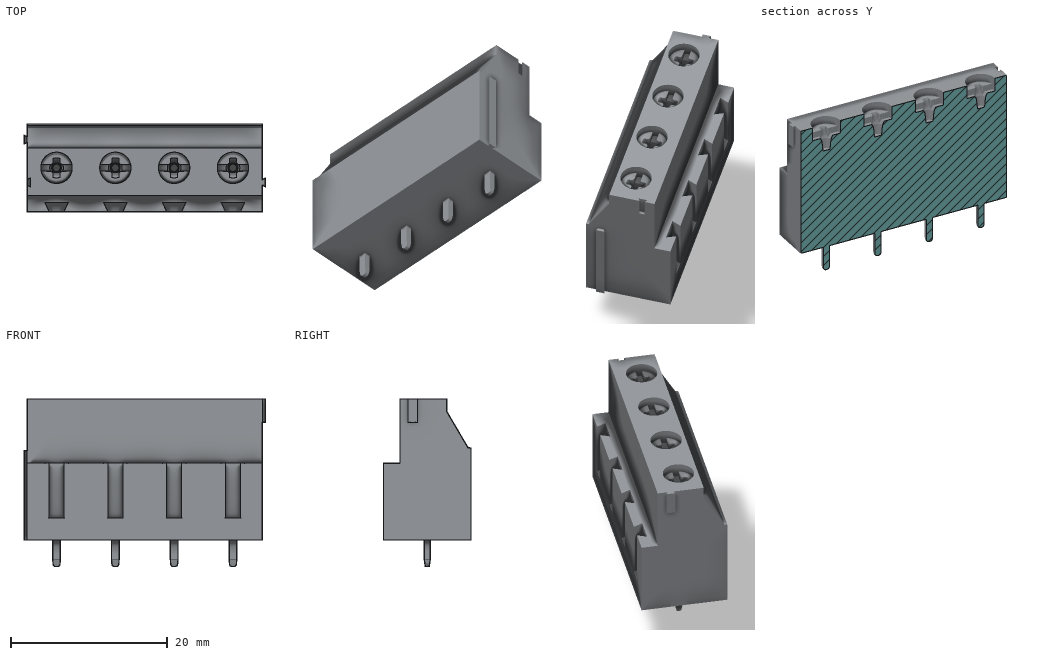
import cadquery as cq

pole_count = 4
pole_pitch = 7.5
housing_length = pole_count * pole_pitch
housing_depth = 11.2
housing_height = 18.0
step_depth = 2.1
step_height = 9.8
upper_back_y = 8.1
slope_top_z = 16.4
slope_bottom_y = 10.8
slope_bottom_z = 11.8
back_chamfer_run = 0.2
back_chamfer_drop = 0.1

key_projection = 0.4
key_wide = 1.15
key_narrow = 0.7
top_key_y = 3.75
top_key_height = 3.0
top_groove_depth = 2.3
back_key_y = 9.2
back_key_height = 11.4

slot_depth = 1.2
slot_mouth_width = 1.9
slot_inner_width = 3.0
slot_floor_z = 2.8

screw_y = housing_depth / 2
well_diameter = 4.0
head_diameter = 3.98
head_recess = 1.0
head_height = 3.5
head_fillet = 0.2
driver_slot_width = 0.84
driver_slot_depth = 0.85
cross_arm_width = 0.87
cross_top_radius = 1.28
cross_bottom_radius = 0.62
cross_depth = 1.4
center_top_radius = 0.76
center_bottom_radius = 0.48
center_depth = 2.8

pin_length = 3.4
pin_width = 1.0
pin_thickness = 0.8
pin_tip_thickness = 0.5
pin_tip_length = 0.9
pin_tip_width = 0.86
pin_corner_radius = 0.4
pin_root = 1.0

pole_positions = [(i + 0.5) * pole_pitch for i in range(pole_count)]
head_top_z = housing_height - head_recess


def make_housing():
    """Stepped and sloped side profile in YZ, extruded along X."""
    profile = [
        (0, 0),
        (housing_depth, 0),
        (housing_depth, slope_bottom_z - back_chamfer_drop),
        (housing_depth - back_chamfer_run, slope_bottom_z),
        (slope_bottom_y, slope_bottom_z),
        (upper_back_y, slope_top_z),
        (upper_back_y, housing_height),
        (step_depth, housing_height),
        (step_depth, step_height),
        (0, step_height),
    ]
    return cq.Workplane("YZ").polyline(profile).close().extrude(housing_length)


def make_side_dovetail(base_x, wide_x, center_y, bottom_z, height):
    """Vertical dovetail, narrow at base_x and wide at wide_x."""
    outline = [
        (base_x, center_y - key_narrow / 2),
        (wide_x, center_y - key_wide / 2),
        (wide_x, center_y + key_wide / 2),
        (base_x, center_y + key_narrow / 2),
    ]
    return cq.Workplane("XY").workplane(offset=bottom_z).polyline(outline).close().extrude(height)


def make_front_slot(x):
    """Dovetail slot, open at the front face and at the top of the ledge."""
    outline = [
        (x - slot_mouth_width / 2, 0),
        (x + slot_mouth_width / 2, 0),
        (x + slot_inner_width / 2, slot_depth),
        (x - slot_inner_width / 2, slot_depth),
    ]
    height = step_height - slot_floor_z
    return cq.Workplane("XY").workplane(offset=slot_floor_z).polyline(outline).close().extrude(height)


def make_well(x):
    """Round well from the top face down to the underside of the screw head."""
    depth = head_recess + head_height
    return (
        cq.Workplane("XY", origin=(x, screw_y, housing_height))
        .circle(well_diameter / 2)
        .extrude(-depth)
    )


def make_downward_cone(top_radius, bottom_radius, depth):
    """Truncated cone from z = 0 down to z = -depth."""
    return (
        cq.Workplane("XY")
        .circle(top_radius)
        .workplane(offset=-depth)
        .circle(bottom_radius)
        .loft(ruled=True)
    )


def make_cross_recess():
    """Cross recess below z = 0: arms ending on a cone, around a deeper tapered centre."""
    arm_cone = make_downward_cone(cross_top_radius, cross_bottom_radius, cross_depth)
    center = make_downward_cone(center_top_radius, center_bottom_radius, center_depth)
    arm_length = 2 * cross_top_radius
    along_x = cq.Workplane("XY").rect(arm_length, cross_arm_width).extrude(-cross_depth)
    along_y = cq.Workplane("XY").rect(cross_arm_width, arm_length).extrude(-cross_depth)
    return arm_cone.intersect(along_x.union(along_y)).union(center)


def make_screw_head():
    """Round-edged head with a driver slot and a cross recess, top at z = 0."""
    head = cq.Workplane("XY").circle(head_diameter / 2).extrude(-head_height)
    head = head.faces(">Z").edges().fillet(head_fillet)
    slot = cq.Workplane("XY").rect(well_diameter, driver_slot_width).extrude(-driver_slot_depth)
    return head.cut(slot).cut(make_cross_recess())


def make_pin(x):
    """Flat pin with a tapered, rounded tip."""
    shank_end_z = pin_tip_length - pin_length
    shank = (
        cq.Workplane("XY", origin=(x, screw_y, shank_end_z))
        .rect(pin_width, pin_thickness)
        .extrude(pin_root - shank_end_z)
    )
    tip = (
        cq.Workplane("XY", origin=(x, screw_y, shank_end_z))
        .rect(pin_width, pin_thickness)
        .workplane(offset=-pin_tip_length)
        .rect(pin_tip_width, pin_tip_thickness)
        .loft(ruled=True)
        .faces("<Z")
        .edges("|Y")
        .fillet(pin_corner_radius)
    )
    return shank.union(tip)


def build_terminal_block():
    block = make_housing()

    back_key = make_side_dovetail(0, -key_projection, back_key_y, 0, back_key_height)
    top_key = make_side_dovetail(
        housing_length,
        housing_length + key_projection,
        top_key_y,
        housing_height - top_key_height,
        top_key_height,
    )
    top_groove = make_side_dovetail(
        0, key_projection, top_key_y, housing_height - top_groove_depth, top_groove_depth
    )
    block = block.union(back_key).union(top_key).cut(top_groove)

    screw_head = make_screw_head()
    for x in pole_positions:
        block = block.cut(make_front_slot(x))
        block = block.cut(make_well(x))
        block = block.union(screw_head.translate((x, screw_y, head_top_z)))
        block = block.union(make_pin(x))
    return block


result = build_terminal_block()